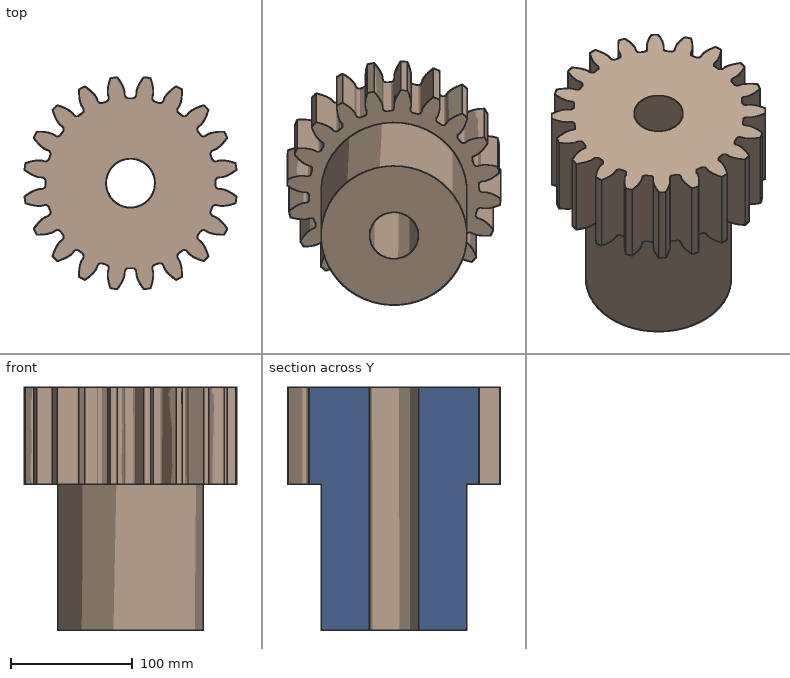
import cadquery as cq
import math

gear_module = 8.0
tooth_count = 20
pressure_angle = math.radians(20)
root_fillet = 3.0
dedendum_ratio = 1.25
total_height = 200.0
gear_width = 80.0
hub_diameter = 120.0
bore_diameter = 40.0

cutter_overrun = 2.0
flank_points = 7

pitch_radius = gear_module * tooth_count / 2
base_radius = pitch_radius * math.cos(pressure_angle)
tip_radius = pitch_radius + gear_module
root_radius = pitch_radius - dedendum_ratio * gear_module
hub_height = total_height - gear_width

half_space_at_pitch = math.pi / (2 * tooth_count)
pitch_involute = math.tan(pressure_angle) - pressure_angle
half_space_at_base = half_space_at_pitch - pitch_involute


def polar(radius, angle):
    """Point at an angle measured from the +X axis."""
    return (radius * math.cos(angle), radius * math.sin(angle))


def mirrored(point):
    """Point reflected across the centre line of the tooth space."""
    return (point[0], -point[1])


def involute_point(roll):
    """Point on the upper flank of a space after unrolling by an angle from the base circle."""
    radius = base_radius * math.sqrt(1 + roll**2)
    return polar(radius, half_space_at_base + roll - math.atan(roll))


def tooth_space():
    """Cutter for the space centred on +X; it runs slightly past the tip circle."""
    end_roll = math.sqrt(((tip_radius + cutter_overrun) / base_radius) ** 2 - 1)
    flank = [involute_point(end_roll * i / (flank_points - 1)) for i in range(flank_points)]
    lower_flank = [mirrored(point) for point in flank]

    start_angle = half_space_at_base
    end_angle = half_space_at_base + end_roll
    inward_headings = [polar(-1, end_angle), polar(-1, start_angle)]
    outward_headings = [polar(1, -start_angle), polar(1, -end_angle)]

    fillet_centre_radius = root_radius + root_fillet
    fillet_span = math.asin(root_fillet / fillet_centre_radius)
    fillet_angle = half_space_at_base - fillet_span
    fillet_centre = polar(fillet_centre_radius, fillet_angle)
    fillet_top = polar(fillet_centre_radius * math.cos(fillet_span), half_space_at_base)
    fillet_bottom = polar(root_radius, fillet_angle)
    direction_to_root = fillet_angle + math.pi
    direction_to_flank = half_space_at_base + math.pi / 2
    middle_direction = (direction_to_root + direction_to_flank) / 2
    fillet_middle = (
        fillet_centre[0] + root_fillet * math.cos(middle_direction),
        fillet_centre[1] + root_fillet * math.sin(middle_direction),
    )

    return (
        cq.Workplane("XY", origin=(0, 0, hub_height))
        .moveTo(*flank[-1])
        .spline(flank[-2::-1], tangents=inward_headings, includeCurrent=True)
        .lineTo(*fillet_top)
        .threePointArc(fillet_middle, fillet_bottom)
        .threePointArc((root_radius, 0), mirrored(fillet_bottom))
        .threePointArc(mirrored(fillet_middle), mirrored(fillet_top))
        .lineTo(*lower_flank[0])
        .spline(lower_flank[1:], tangents=outward_headings, includeCurrent=True)
        .close()
        .extrude(gear_width)
    )


gear = cq.Workplane("XY", origin=(0, 0, hub_height)).circle(tip_radius).extrude(gear_width)
space = tooth_space()
for i in range(tooth_count):
    gear = gear.cut(space.rotate((0, 0, 0), (0, 0, 1), i * 360 / tooth_count))

hub = cq.Workplane("XY").circle(hub_diameter / 2).extrude(hub_height)

bore = cq.Workplane("XY").circle(bore_diameter / 2).extrude(total_height)

result = gear.union(hub).cut(bore)